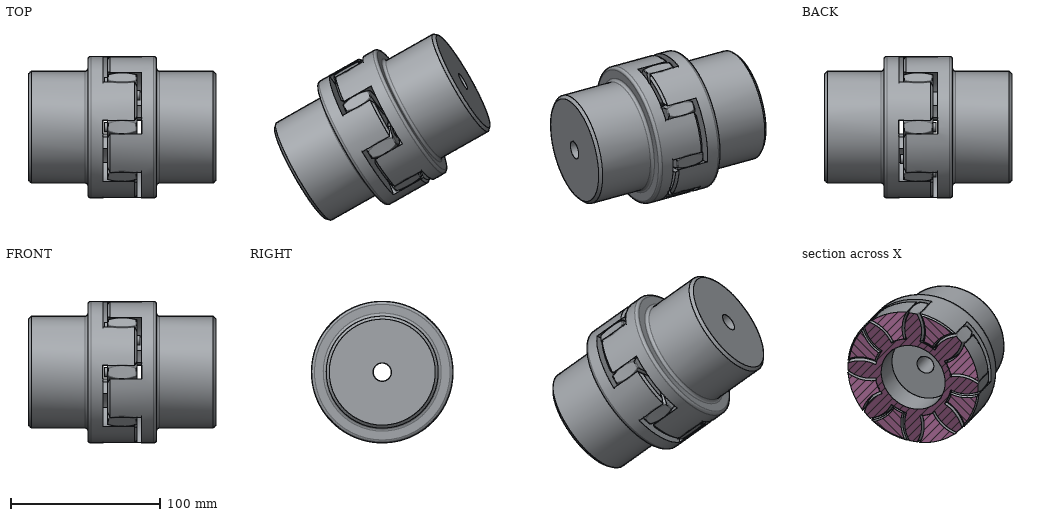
import cadquery as cq
import math


coupling_length = 126.0
hub_radius = 37.5
flange_radius = 47.5
bore_radius = 6.0
edge_size = 2.0
flange_outer_x = 23.0
flange_inner_x = 13.0
end_x = coupling_length / 2

jaws_per_hub = 4
jaw_tip_x = 10.0
jaw_inner_radius = 27.6
jaw_chamfer = 1.6

tooth_count = 2 * jaws_per_hub
tooth_pitch = 360 / tooth_count
tooth_half_length = 10.0
tooth_outer_radius = 47.1
tooth_crown = 1.8
spider_bore_radius = 22.9
tooth_edge_round = 0.6
pad_circle_radius = 30.2
pad_radius = 3.2
pad_end_x = 12.0

flank_radius = 25.2
pocket_circle_radius = 34.8
pocket_half_width = 7.8
flank_axis_offset = flank_radius - pocket_half_width


def disc_between(x_start, x_end, radius):
    """Cylinder on the X axis between two X positions."""
    return cq.Workplane("YZ", origin=(x_start, 0, 0)).circle(radius).extrude(x_end - x_start)


def turn(body, angle):
    """Rotate a body about the X axis, from +Y toward +Z."""
    return body.rotate((0, 0, 0), (1, 0, 0), angle)


def lens(flank_body):
    """Overlap of two flank bodies moved to both sides of the pocket centre on +Y."""
    lower = flank_body.translate((0, pocket_circle_radius, -flank_axis_offset))
    upper = flank_body.translate((0, pocket_circle_radius, flank_axis_offset))
    return lower.intersect(upper)


def jaw_gap():
    """Space between two jaws: a sector from 0 to one tooth pitch with a lens on each side."""
    sector_reach = 2 * flange_radius
    pitch = math.radians(tooth_pitch)
    sector = (
        cq.Workplane("YZ", origin=(-flange_inner_x, 0, 0))
        .polyline([
            (0, 0),
            (sector_reach, 0),
            (sector_reach * math.cos(pitch), sector_reach * math.sin(pitch)),
        ])
        .close()
        .extrude(flange_inner_x + jaw_tip_x)
    )
    pocket = lens(disc_between(-flange_inner_x, jaw_tip_x, flank_radius))
    return sector.union(pocket).union(turn(pocket, tooth_pitch))


def hub_body():
    """Turned left hub before the jaws are cut: boss, neck fillet, flange and jaw ring."""
    corner_inset = edge_size * (1 - math.sqrt(0.5))
    return (
        cq.Workplane("XY")
        .moveTo(-end_x, bore_radius)
        .lineTo(-end_x, hub_radius - edge_size)
        .lineTo(-end_x + edge_size, hub_radius)
        .lineTo(-flange_outer_x - edge_size, hub_radius)
        .threePointArc(
            (-flange_outer_x - corner_inset, hub_radius + corner_inset),
            (-flange_outer_x, hub_radius + edge_size),
        )
        .lineTo(-flange_outer_x, flange_radius - edge_size)
        .threePointArc(
            (-flange_outer_x + corner_inset, flange_radius - corner_inset),
            (-flange_outer_x + edge_size, flange_radius),
        )
        .lineTo(jaw_tip_x, flange_radius)
        .lineTo(jaw_tip_x, jaw_inner_radius)
        .lineTo(-flange_inner_x, jaw_inner_radius)
        .lineTo(-flange_inner_x, bore_radius)
        .close()
        .revolve(360, (0, 0, 0), (1, 0, 0))
    )


def left_hub():
    """Left hub: gaps cut out of the jaw ring leave four jaws, chamfered around their tips."""
    hub = hub_body()
    gap = jaw_gap()
    for index in range(jaws_per_hub):
        hub = hub.cut(turn(gap, 2 * tooth_pitch * index))
    return hub.faces(">X").chamfer(jaw_chamfer)


def right_hub():
    """Right hub: the left hub mirrored and turned by one tooth pitch."""
    return turn(left_hub().mirror("YZ"), tooth_pitch)


def tooth():
    """Crowned spider tooth on +Y, touching the jaw flanks at mid length."""
    end_radius = flank_radius - tooth_crown
    barrel = (
        cq.Workplane("XY")
        .moveTo(-tooth_half_length, 0)
        .lineTo(-tooth_half_length, end_radius)
        .threePointArc((0, flank_radius), (tooth_half_length, end_radius))
        .lineTo(tooth_half_length, 0)
        .close()
        .revolve(360, (0, 0, 0), (1, 0, 0))
    )
    rim = disc_between(-tooth_half_length, tooth_half_length, tooth_outer_radius)
    return lens(barrel).intersect(rim).faces(">Y").edges().fillet(tooth_edge_round)


def pad(tooth_index):
    """Spacer pad on one tooth, facing -X on even teeth and +X on odd teeth."""
    side = -1 if tooth_index % 2 == 0 else 1
    post = (
        cq.Workplane("YZ")
        .center(pad_circle_radius, 0)
        .circle(pad_radius)
        .extrude(side * pad_end_x)
    )
    return turn(post, tooth_pitch * tooth_index)


def spider_body():
    """Ring inside the jaws with crowned teeth and spacer pads on alternate sides."""
    body = disc_between(-tooth_half_length, tooth_half_length, jaw_inner_radius)
    single_tooth = tooth()
    for index in range(tooth_count):
        body = body.union(turn(single_tooth, tooth_pitch * index))
        body = body.union(pad(index))
    return body.cut(disc_between(-tooth_half_length, tooth_half_length, spider_bore_radius))


hub_left = left_hub().solids()
hub_right = right_hub().solids()
spider = spider_body().solids()

result = cq.Compound.makeCompound([hub_left.val(), hub_right.val(), spider.val()])